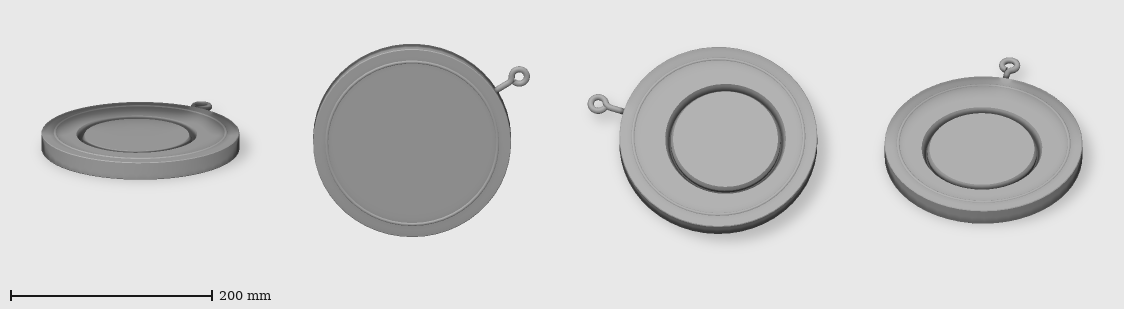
import cadquery as cq
import math

PLATE_DIAMETER = 197.0
PLATE_THICKNESS = 18.0
PLATE_EDGE_CHAMFER = 0.7

OVERALL_THICKNESS = 19.7
SEAL_CORD_DIAMETER = 3.8
SEAL_MEAN_RADIUS = 85.0

RECESS_OFFSET_Y = -7.5
RECESS_TOP_DIAMETER = 120.0
RECESS_FLOOR_DIAMETER = 111.9
RECESS_DEPTH = PLATE_THICKNESS / 2
DISC_DIAMETER = 109.0
DISC_BEVEL_WIDTH = 2.4
DISC_BEVEL_HEIGHT = 4.2
DISC_DROP = 0.7

ROD_DIAMETER = 6.0
EYE_OUTER_DIAMETER = 21.2
OVERALL_LENGTH = 235.0
EYE_END_ANGLE = 15.0
ROD_ROOT_DEPTH = 9.5


def make_plate():
    lower_face = cq.Workplane("XY").workplane(offset=-PLATE_THICKNESS / 2)
    plate = lower_face.circle(PLATE_DIAMETER / 2).extrude(PLATE_THICKNESS)
    return plate.faces("|Z").edges().chamfer(PLATE_EDGE_CHAMFER)


def make_seal(side):
    """Ring of round cord, on the upper face (side = 1) or the lower face (side = -1)."""
    height = side * (OVERALL_THICKNESS - SEAL_CORD_DIAMETER) / 2
    section = cq.Workplane("XZ").center(SEAL_MEAN_RADIUS, height).circle(SEAL_CORD_DIAMETER / 2)
    return section.revolve(axisStart=(-SEAL_MEAN_RADIUS, 0), axisEnd=(-SEAL_MEAN_RADIUS, 1))


def make_recess():
    """Cone that narrows from the upper face down to the recess floor."""
    return (
        cq.Workplane("XY", origin=(0, RECESS_OFFSET_Y, PLATE_THICKNESS / 2))
        .circle(RECESS_TOP_DIAMETER / 2)
        .workplane(offset=-RECESS_DEPTH)
        .circle(RECESS_FLOOR_DIAMETER / 2)
        .loft()
    )


def make_disc():
    """Bevelled disc that stands on the recess floor, its top just below the upper face."""
    floor_height = PLATE_THICKNESS / 2 - RECESS_DEPTH
    return (
        cq.Workplane("XY", origin=(0, RECESS_OFFSET_Y, floor_height))
        .circle(DISC_DIAMETER / 2)
        .extrude(RECESS_DEPTH - DISC_DROP)
        .faces(">Z")
        .chamfer(DISC_BEVEL_HEIGHT, DISC_BEVEL_WIDTH)
    )


def make_eye_bolt():
    """Rod swept up a straight stem, round a bend to the right and then round the eye."""
    eye_radius = (EYE_OUTER_DIAMETER - ROD_DIAMETER) / 2
    eye_y = OVERALL_LENGTH - PLATE_DIAMETER / 2 - EYE_OUTER_DIAMETER / 2

    bend_angle = math.asin(0.5)
    bend_y = eye_y - 2 * eye_radius * math.cos(bend_angle)
    root_y = PLATE_DIAMETER / 2 - ROD_ROOT_DEPTH

    def on_eye(angle_from_lowest):
        return (eye_radius * math.sin(angle_from_lowest), eye_y - eye_radius * math.cos(angle_from_lowest))

    def on_bend(turn):
        return (eye_radius * (1 - math.cos(turn)), bend_y + eye_radius * math.sin(turn))

    bend_turn = math.pi / 2 - bend_angle
    path = (
        cq.Workplane("XY")
        .moveTo(0, root_y)
        .lineTo(0, bend_y)
        .threePointArc(on_bend(bend_turn / 2), on_bend(bend_turn))
        .threePointArc(on_eye(math.pi), on_eye(-math.radians(EYE_END_ANGLE)))
    )
    section = cq.Workplane("XZ", origin=(0, root_y, 0)).circle(ROD_DIAMETER / 2)
    return section.sweep(path)


result = make_plate()
for face_side in (1, -1):
    result = result.union(make_seal(face_side))
result = result.cut(make_recess()).union(make_disc()).union(make_eye_bolt())